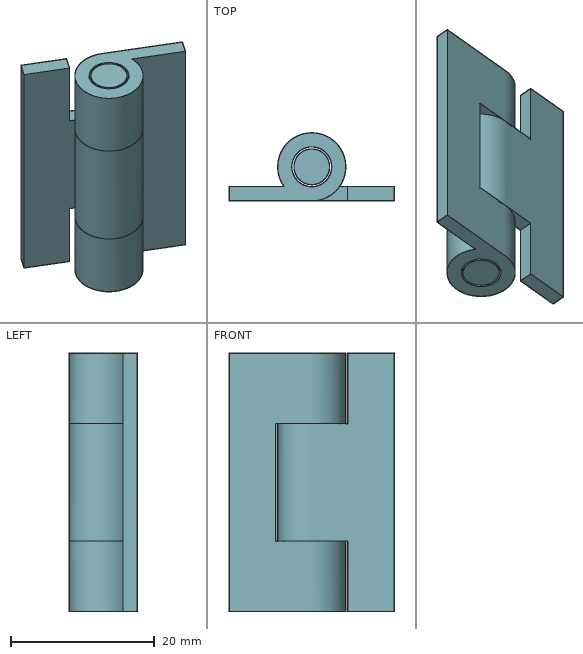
import cadquery as cq

HEIGHT = 36.0
WIDTH = 23.0
KNUCKLE_DIAMETER = 9.5
HOLE_DIAMETER = 5.5
PIN_DIAMETER = 5.0
PLATE_THICKNESS = 2.0
END_KNUCKLE_LENGTH = 9.83
NOTCH_REACH = 5.0

knuckle_radius = KNUCKLE_DIAMETER / 2
half_width = WIDTH / 2
middle_knuckle_length = HEIGHT - 2 * END_KNUCKLE_LENGTH
middle_top = HEIGHT - END_KNUCKLE_LENGTH


def make_plate(inner_x, outer_x, bottom, length):
    """Flat plate whose front face is tangent to the knuckle barrel."""
    return cq.Workplane("XY").box(
        outer_x - inner_x, PLATE_THICKNESS, length, centered=False
    ).translate((inner_x, -knuckle_radius, bottom))


def make_barrel(bottom, length):
    """Solid cylinder of one knuckle, before the pin hole is cut."""
    return cq.Workplane("XY").workplane(offset=bottom).circle(knuckle_radius).extrude(length)


def cut_pin_hole(leaf):
    """Cut the clearance hole for the pin along the whole height."""
    hole = cq.Workplane("XY").circle(HOLE_DIAMETER / 2).extrude(HEIGHT)
    return leaf.cut(hole).solids()


def make_left_leaf():
    """Leaf with a knuckle at each end and a notch for the middle knuckle."""
    leaf = make_plate(-half_width, -NOTCH_REACH, 0, HEIGHT)
    for bottom in (0, middle_top):
        leaf = leaf.union(make_plate(-NOTCH_REACH, 0, bottom, END_KNUCKLE_LENGTH))
        leaf = leaf.union(make_barrel(bottom, END_KNUCKLE_LENGTH))
    return cut_pin_hole(leaf)


def make_right_leaf():
    """Leaf with one middle knuckle and a notch at each end."""
    leaf = make_plate(NOTCH_REACH, half_width, 0, HEIGHT)
    leaf = leaf.union(make_plate(0, NOTCH_REACH, END_KNUCKLE_LENGTH, middle_knuckle_length))
    leaf = leaf.union(make_barrel(END_KNUCKLE_LENGTH, middle_knuckle_length))
    return cut_pin_hole(leaf)


def make_pin():
    """Plain pin, flush with both ends of the hinge."""
    return cq.Workplane("XY").circle(PIN_DIAMETER / 2).extrude(HEIGHT)


left_leaf = make_left_leaf()
right_leaf = make_right_leaf()
pin = make_pin()

result = cq.Compound.makeCompound([left_leaf.val(), right_leaf.val(), pin.val()])